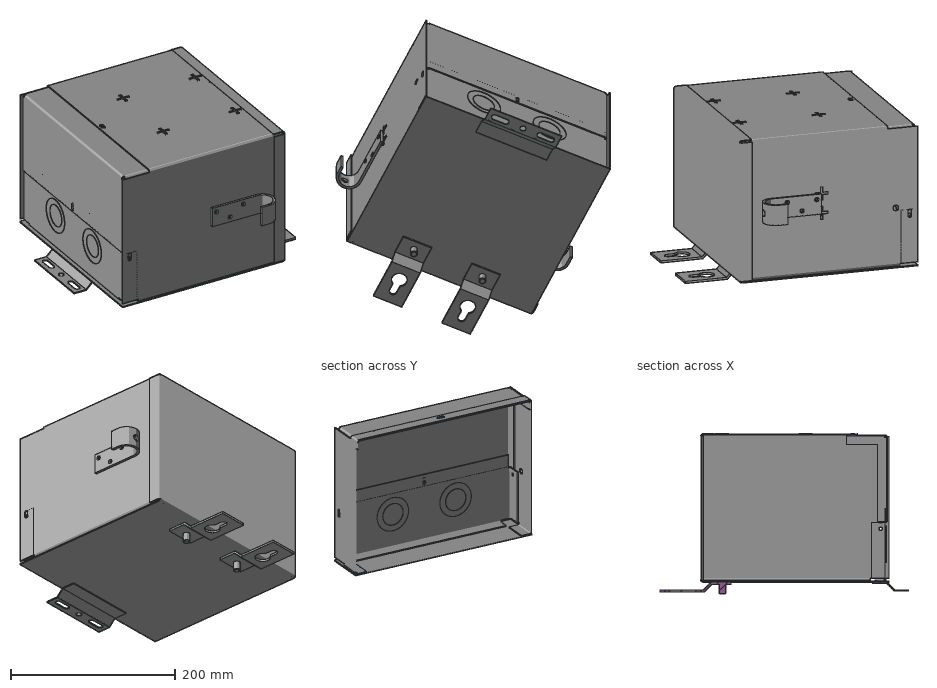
import cadquery as cq

HEIGHT = 181.3
DEPTH = 229.7
WALL_X = 123.7
SHEET = 1.52
BEND = 3.5
INNER_BEND = BEND - SHEET

REAR_FLANGE = 16.0
REAR_RIM_GAP = 0.5
REAR_FLANGE_TRIM = 2.6
TOP_FLANGE_X = 122.5

WRAP_TOP_FRONT = 38.3
RETURN_FRONT = 22.6
RETURN_INNER_X = 108.7
CROSS_LENGTH = 16.4
CROSS_WIDTH = 3.0
TOP_CROSS_X = 48.1
TOP_CROSS_YS = (101.8, 203.6)
SIDE_CROSS_Y = 123.6
SIDE_CROSS_PITCH = 24.6
SIDE_HOLE = (28.1, 76.3)
SIDE_HOLE_DIAMETER = 7.0

SLOT_LENGTH = 10.0
SLOT_WIDTH = 4.6
FRONT_SLOT_WIDTH = 3.6
SCREW_HOLE = 3.6
TOP_SLOT_Y = 44.1
SIDE_SLOT = (10.2, 67.7)
SIDE_SCREW_DROP = 2.3
FRONT_SCREW_DROP = 0.8
FRONT_SLOT_Z = 80.4

DOOR_GAP = 0.6
DOOR_FRONT = 1.8
DOOR_BOTTOM = 73.9
DOOR_TOP_BACK = 52.0
DOOR_SIDE_FLANGE = 12.0
PANEL_FRONT = DOOR_FRONT + SHEET
PANEL_SIDE_TOP = 72.75
PANEL_SIDE_FLANGE = 18.0
PANEL_BOTTOM_BACK = 16.9
PANEL_BOTTOM_X = 107.7
PANEL_TONGUE_X = WALL_X - SHEET - DOOR_GAP - BEND
PANEL_TONGUE_TOP = 90.0
KNOCKOUT_X = 44.1
KNOCKOUT_Z = 46.4
KNOCKOUT_STEPS = ((44.2, 0.7), (28.5, 1.3))

HOOK_SHEET = 3.0
HOOK_SPAN = 31.62
HOOK_Z = 91.7
HOOK_WIDTH = 25.6
HOOK_FRONT = 125.2
HOOK_TIP = 178.3
HOOK_ARC_Y = 188.7
HOOK_HOLE = 8.2
RIVET_Y = 150.2
RIVET_PITCH = 19.0
RIVET_RISE = 6.3
RIVET_HOLE = 3.0
RIVET_SINK = 5.5

BRACKET_DROP = 9.2
TAN_HALF_JOG = 2 ** 0.5 - 1

KEYHOLE_SHEET = 2.75
KEYHOLE_X = 46.0
KEYHOLE_WIDTH = 38.1
KEYHOLE_FRONT = 192.3
KEYHOLE_JOG = 217.2
KEYHOLE_END = 279.2
KEYHOLE_CIRCLE_Y = 245.3
KEYHOLE_CIRCLE = 19.05
KEYHOLE_SLOT = 9.5
KEYHOLE_TOP = 267.9
STUD_Y = 203.0
STUD_DIAMETER = 8.4
STUD_BOTTOM = -14.11
STUD_CHAMFER = 1.0

FOOT_SHEET = 1.5
FOOT_WIDTH = 95.25
FOOT_BACK = 20.0
FOOT_JOG = 2.1
FOOT_END = -23.79
FOOT_HOLE_Y = -14.0
FOOT_HOLE = 7.2
FOOT_SLOT_LENGTH = 22.6
FOOT_SLOT_X = 30.5


def block(x_range, y_range, z_range):
    """Box between two limits on each axis."""
    sizes = [high - low for low, high in (x_range, y_range, z_range)]
    corner = (x_range[0], y_range[0], z_range[0])
    return cq.Workplane("XY").box(*sizes, centered=False).translate(corner)


def centred_block(half_x, y_range, z_range):
    return block((-half_x, half_x), y_range, z_range)


def mirrored_blocks(x_range, y_range, z_range):
    """The same box on both sides of the middle plane."""
    one = block(x_range, y_range, z_range)
    return one.union(one.mirror("YZ"))


def front_plane(y):
    """Plane facing the front, with X to the right; negative extrusions go into the box."""
    return cq.Workplane("XZ", origin=(0, y, 0))


def make_wrap():
    inside_x = WALL_X - SHEET
    back = DEPTH - BEND
    outer = centred_block(WALL_X, (0, back), (SHEET, HEIGHT)).edges("|Y").fillet(BEND)
    inner = centred_block(inside_x, (0, back), (2 * SHEET, HEIGHT - SHEET))
    inner = inner.edges("|Y").fillet(INNER_BEND)
    wrap = outer.cut(inner)
    wrap = wrap.cut(centred_block(RETURN_INNER_X, (0, back), (0, BEND)))
    wrap = wrap.cut(centred_block(WALL_X, (0, RETURN_FRONT), (0, SHEET + BEND)))
    wrap = wrap.cut(centred_block(WALL_X, (0, WRAP_TOP_FRONT), (HEIGHT - BEND, HEIGHT)))
    flange_recess = centred_block(TOP_FLANGE_X, (DEPTH - REAR_FLANGE, DEPTH), (HEIGHT - SHEET, HEIGHT))
    wrap = wrap.cut(flange_recess)

    cross_points = [(x, y) for x in (-TOP_CROSS_X, TOP_CROSS_X) for y in TOP_CROSS_YS]
    top_plane = cq.Workplane("XY", origin=(0, 0, HEIGHT - 2 * SHEET))
    for length_x, length_y in ((CROSS_LENGTH, CROSS_WIDTH), (CROSS_WIDTH, CROSS_LENGTH)):
        wrap = wrap.cut(top_plane.pushPoints(cross_points).rect(length_x, length_y).extrude(3 * SHEET))
    wrap = wrap.cut(top_plane.center(0, TOP_SLOT_Y).slot2D(SLOT_LENGTH, SLOT_WIDTH).extrude(3 * SHEET))

    left_plane = cq.Workplane("YZ", origin=(-WALL_X - SHEET, 0, 0))
    side_crosses = [(SIDE_CROSS_Y, HOOK_Z + side * SIDE_CROSS_PITCH / 2) for side in (-1, 1)]
    for length_y, length_z in ((CROSS_LENGTH, CROSS_WIDTH), (CROSS_WIDTH, CROSS_LENGTH)):
        wrap = wrap.cut(left_plane.pushPoints(side_crosses).rect(length_y, length_z).extrude(3 * SHEET))
    wrap = wrap.cut(left_plane.center(*SIDE_HOLE).circle(SIDE_HOLE_DIAMETER / 2).extrude(3 * SHEET))
    side_slots = cq.Workplane("YZ").center(*SIDE_SLOT).slot2D(SLOT_LENGTH, SLOT_WIDTH, 90)
    return wrap.cut(side_slots.extrude(2 * WALL_X, both=True))


def make_rear_pan():
    """Floor, back and the rim flanges that close the rear of the wrap."""
    inside_x = WALL_X + REAR_RIM_GAP
    rim_x = inside_x + SHEET
    front = DEPTH - REAR_FLANGE
    outer = centred_block(rim_x, (front, DEPTH), (0, HEIGHT)).edges(">Y").fillet(BEND)
    inner = centred_block(inside_x, (front, DEPTH - SHEET), (SHEET, HEIGHT - SHEET))
    inner = inner.edges(">Y").fillet(INNER_BEND)
    pan = outer.cut(inner)
    top_trim = (HEIGHT - REAR_FLANGE_TRIM, HEIGHT)
    pan = pan.cut(mirrored_blocks((TOP_FLANGE_X, rim_x), (front, DEPTH), top_trim))
    pan = pan.cut(mirrored_blocks((WALL_X, rim_x), (front, DEPTH), (0, REAR_FLANGE_TRIM)))
    return pan.union(centred_block(WALL_X, (0, front), (0, SHEET)))


def make_door():
    """L-shaped door: front above the lower panel and a strip under the wrap's top."""
    half_x = WALL_X - SHEET - DOOR_GAP
    top = HEIGHT - SHEET
    lap = (DOOR_FRONT, DOOR_TOP_BACK)
    inner_lap = (PANEL_FRONT, DOOR_TOP_BACK)
    bends = "|Y and >Z or |Z and <Y or |X and >Z and <Y"
    outer = centred_block(half_x, lap, (DOOR_BOTTOM, top)).edges(bends).fillet(BEND)
    inner = centred_block(half_x - SHEET, inner_lap, (DOOR_BOTTOM, top - SHEET))
    inner = inner.edges(bends).fillet(INNER_BEND)
    door = outer.cut(inner)
    side_opening = (DOOR_FRONT + DOOR_SIDE_FLANGE, DOOR_TOP_BACK)
    door = door.cut(centred_block(half_x, side_opening, (DOOR_BOTTOM, top - DOOR_SIDE_FLANGE)))
    door = door.cut(
        mirrored_blocks((half_x - BEND, half_x), (DOOR_FRONT, DOOR_FRONT + BEND), (top - BEND, top))
    )
    slot = front_plane(0).center(0, FRONT_SLOT_Z).slot2D(SLOT_LENGTH, FRONT_SLOT_WIDTH, 90)
    door = door.cut(slot.extrude(-BEND))
    screw = cq.Workplane("XY", origin=(0, TOP_SLOT_Y, top)).circle(SCREW_HOLE / 2).extrude(-BEND)
    return door.cut(screw)


def make_lower_panel():
    half_x = WALL_X - SHEET
    side_back = PANEL_FRONT + PANEL_SIDE_FLANGE
    bends = "|Z and <Y or |X and <Z and <Y"
    outer = centred_block(half_x, (PANEL_FRONT, side_back), (SHEET, PANEL_SIDE_TOP))
    outer = outer.edges(bends).fillet(BEND)
    inner = centred_block(
        half_x - SHEET, (PANEL_FRONT + SHEET, side_back), (2 * SHEET, PANEL_SIDE_TOP)
    )
    inner = inner.edges(bends).fillet(INNER_BEND)
    panel = outer.cut(inner)
    bottom = (SHEET, SHEET + BEND)
    panel = panel.cut(mirrored_blocks((PANEL_BOTTOM_X, half_x), (PANEL_FRONT, side_back), bottom))
    panel = panel.cut(centred_block(PANEL_BOTTOM_X, (PANEL_BOTTOM_BACK, side_back), bottom))
    tongue = centred_block(
        PANEL_TONGUE_X, (PANEL_FRONT, PANEL_FRONT + SHEET), (PANEL_SIDE_TOP, PANEL_TONGUE_TOP)
    )
    panel = panel.union(tongue)

    for x in (-KNOCKOUT_X, KNOCKOUT_X):
        for diameter, depth in KNOCKOUT_STEPS:
            recess = front_plane(PANEL_FRONT).center(x, KNOCKOUT_Z).circle(diameter / 2).extrude(-depth)
            panel = panel.cut(recess)
    screw_plane = front_plane(0).center(0, FRONT_SLOT_Z - FRONT_SCREW_DROP)
    front_screw = screw_plane.circle(SCREW_HOLE / 2).extrude(-2 * BEND)
    side_screws = (
        cq.Workplane("YZ")
        .center(SIDE_SLOT[0], SIDE_SLOT[1] - SIDE_SCREW_DROP)
        .circle(SCREW_HOLE / 2)
        .extrude(WALL_X, both=True)
    )
    return panel.cut(front_screw).cut(side_screws)


def make_hook(side):
    """J-shaped strap hook on the left (-1) or right (1) wall."""
    outer_radius = HOOK_SPAN / 2
    inner_radius = outer_radius - HOOK_SHEET
    tip_x = WALL_X + HOOK_SPAN
    arc_x = WALL_X + outer_radius
    hook = (
        cq.Workplane("XY", origin=(0, 0, HOOK_Z))
        .moveTo(WALL_X, HOOK_FRONT)
        .lineTo(WALL_X, HOOK_ARC_Y)
        .threePointArc((arc_x, HOOK_ARC_Y + outer_radius), (tip_x, HOOK_ARC_Y))
        .lineTo(tip_x, HOOK_TIP)
        .lineTo(tip_x - HOOK_SHEET, HOOK_TIP)
        .lineTo(tip_x - HOOK_SHEET, HOOK_ARC_Y)
        .threePointArc((arc_x, HOOK_ARC_Y + inner_radius), (WALL_X + HOOK_SHEET, HOOK_ARC_Y))
        .lineTo(WALL_X + HOOK_SHEET, HOOK_FRONT)
        .close()
        .extrude(HOOK_WIDTH / 2, both=True)
    )
    strap_hole = front_plane(HOOK_ARC_Y).center(arc_x, HOOK_Z).circle(HOOK_HOLE / 2).extrude(-HOOK_SPAN)
    hook = hook.cut(strap_hole)
    rivets = [
        (RIVET_Y - RIVET_PITCH, HOOK_Z + RIVET_RISE),
        (RIVET_Y, HOOK_Z - RIVET_RISE),
        (RIVET_Y + RIVET_PITCH, HOOK_Z + RIVET_RISE),
    ]
    sink_depth = (RIVET_SINK - RIVET_HOLE) / 2
    outer_face = WALL_X + HOOK_SHEET
    for y, z in rivets:
        hole = cq.Workplane("YZ", origin=(WALL_X, y, z)).circle(RIVET_HOLE / 2).extrude(HOOK_SHEET)
        sink = (
            cq.Workplane("YZ", origin=(outer_face, y, z))
            .circle(RIVET_SINK / 2)
            .workplane(offset=-sink_depth)
            .circle(RIVET_HOLE / 2)
            .loft()
        )
        hook = hook.cut(hole).cut(sink)
    return hook if side > 0 else hook.mirror("YZ")


def jogged_strip(start, jog, end, sheet, width):
    """Strip under the floor that steps down at 45 degrees to a lower pad and runs on to `end`."""
    away = 1 if end > start else -1
    shift = away * sheet * TAN_HALF_JOG
    jog_end = jog + away * BRACKET_DROP
    points = [
        (start, 0),
        (jog, 0),
        (jog_end, -BRACKET_DROP),
        (end, -BRACKET_DROP),
        (end, -BRACKET_DROP - sheet),
        (jog_end - shift, -BRACKET_DROP - sheet),
        (jog - shift, -sheet),
        (start, -sheet),
    ]
    return cq.Workplane("YZ").polyline(points).close().extrude(width / 2, both=True)


def make_keyhole_bracket(x):
    """Rear bracket with a keyhole in its pad and a stud under its mounting end."""
    bracket = jogged_strip(KEYHOLE_FRONT, KEYHOLE_JOG, KEYHOLE_END, KEYHOLE_SHEET, KEYHOLE_WIDTH)
    cutter = cq.Workplane("XY", origin=(0, KEYHOLE_CIRCLE_Y, STUD_BOTTOM))
    bracket = bracket.cut(cutter.circle(KEYHOLE_CIRCLE / 2).extrude(-STUD_BOTTOM))
    slot_end = KEYHOLE_TOP - KEYHOLE_SLOT / 2 - KEYHOLE_CIRCLE_Y
    bracket = bracket.cut(cutter.center(0, slot_end).circle(KEYHOLE_SLOT / 2).extrude(-STUD_BOTTOM))
    bracket = bracket.cut(cutter.center(0, slot_end / 2).rect(KEYHOLE_SLOT, slot_end).extrude(-STUD_BOTTOM))
    stud = cq.Workplane("XY", origin=(0, STUD_Y, STUD_BOTTOM)).circle(STUD_DIAMETER / 2)
    stud = stud.extrude(-STUD_BOTTOM - KEYHOLE_SHEET).faces("<Z").chamfer(STUD_CHAMFER)
    return bracket.union(stud).translate((x, 0, 0))


def make_front_foot():
    foot = jogged_strip(FOOT_BACK, FOOT_JOG, FOOT_END, FOOT_SHEET, FOOT_WIDTH)
    cutter = cq.Workplane("XY", origin=(0, FOOT_HOLE_Y, STUD_BOTTOM))
    slots = cutter.pushPoints([(-FOOT_SLOT_X, 0), (FOOT_SLOT_X, 0)]).slot2D(FOOT_SLOT_LENGTH, FOOT_HOLE)
    foot = foot.cut(slots.extrude(BRACKET_DROP))
    return foot.cut(cutter.circle(FOOT_HOLE / 2).extrude(BRACKET_DROP))


wrap = make_wrap()
rear_pan = make_rear_pan()
door = make_door()
lower_panel = make_lower_panel()
hooks = [make_hook(side) for side in (-1, 1)]
keyhole_brackets = [make_keyhole_bracket(x) for x in (-KEYHOLE_X, KEYHOLE_X)]
front_foot = make_front_foot()

bodies = [wrap, rear_pan, door, lower_panel, *hooks, *keyhole_brackets, front_foot]
result = cq.Compound.makeCompound([body.solids().val() for body in bodies])